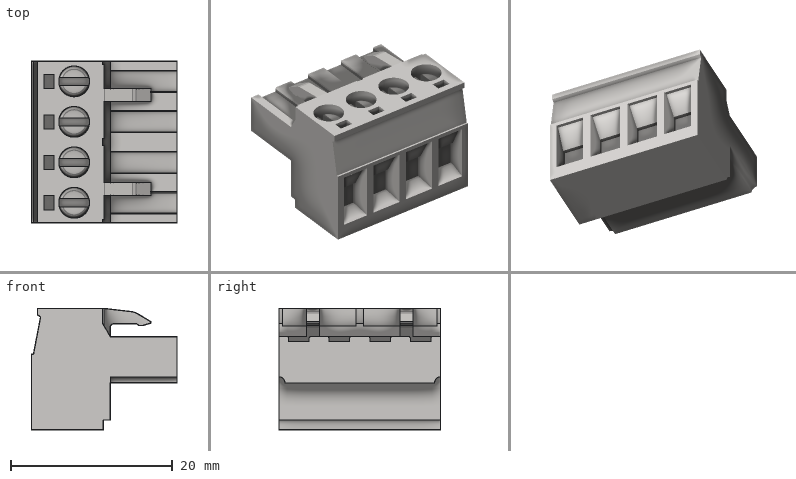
import cadquery as cq
import math


length = 18.0
width = 20.0
height = 15.0
half_width = width / 2
terminal_count = 4
pitch = width / terminal_count
terminal_places = [(i - (terminal_count - 1) / 2) * pitch for i in range(terminal_count)]

body_rear = 9.75
top_rear = 8.78
rear_slope_top = 13.15
foot_rear = 8.88
foot_height = 1.2
lip_front = 0.72
lip_bottom = 14.2
panel_top_x = 1.12
panel_top = 13.95
panel_bottom_x = 0.25
panel_bottom = 9.35

plug_bottom = 5.8
plug_top = 11.5
cove_radius = 1.5 / 2
channel_depth = 0.6
channel_floor = plug_top - channel_depth
centre_rib_half = 1.25
side_rib_inner = 3.8
side_rib_outer = 6.28
edge_rib_inner = 8.78
edge_chamfer_height = 0.15
outer_edge_chamfer = 0.15
edge_chamfer = 0.08

pad_thickness = 0.18
pad_inner = 0.45
pad_outer = 9.55
pad_bottom = 12.8

latch_place = 5.8
latch_width = 1.6
latch_root_x = 8.78
latch_underside = 13.08
latch_root_fillet = 0.4

screw_x = 5.28
screw_diameter = 3.8
head_flat_diameter = 3.0
head_depth = 1.25
slot_width = 1.0
slot_depth = 1.0

test_front = 1.58
test_rear = 2.75
test_width = 1.75
test_depth = 3.0

entry_bottom = 1.85
entry_top = 8.82
entry_half_width = 2.0
entry_limit = 9.1
roof_slope_start = 0.42
throat_start = 1.7
throat_end = 2.2
throat_bottom = 2.75
throat_top = 5.95
throat_half_width = 1.45


def box(x_range, y_range, z_range):
    """Box from its limits along each axis."""
    sizes = [high - low for low, high in (x_range, y_range, z_range)]
    corner = (x_range[0], y_range[0], z_range[0])
    return cq.Workplane("XY").box(*sizes, centered=False).translate(corner)


def extrude_along_y(points, y_centre, y_width):
    """Closed XZ outline extruded along Y, centred on y_centre."""
    plane = cq.Workplane("XZ", origin=(0, y_centre, 0))
    return plane.polyline(points).close().extrude(y_width / 2, both=True)


def make_body():
    outline = [
        (0, 0),
        (foot_rear, 0),
        (foot_rear, foot_height),
        (body_rear, foot_height),
        (body_rear, plug_top),
        (top_rear, rear_slope_top),
        (top_rear, height),
        (lip_front, height),
        (lip_front, lip_bottom),
        (panel_top_x, panel_top),
        (panel_bottom_x, panel_bottom),
        (0, panel_bottom),
    ]
    return extrude_along_y(outline, 0, width)


def make_plug():
    """Plug bar with coved lower edges and channels between its top ribs."""
    cove_top = plug_bottom + cove_radius
    cove_inner = half_width - cove_radius
    cove_reach = cove_radius * math.sqrt(0.5)
    cove_middle = half_width - cove_reach
    cove_middle_z = plug_bottom + cove_reach

    shoulder = plug_top - edge_chamfer_height
    half_top = [
        (centre_rib_half - edge_chamfer, plug_top),
        (centre_rib_half, shoulder),
        (centre_rib_half, channel_floor),
        (side_rib_inner, channel_floor),
        (side_rib_inner, shoulder),
        (side_rib_inner + edge_chamfer, plug_top),
        (side_rib_outer - outer_edge_chamfer, plug_top),
        (side_rib_outer, shoulder),
        (side_rib_outer, channel_floor),
        (edge_rib_inner, channel_floor),
        (edge_rib_inner, shoulder),
        (edge_rib_inner + edge_chamfer, plug_top),
        (half_width, plug_top),
    ]
    mirrored_top = [(-y, z) for y, z in half_top]

    outline = (
        cq.Workplane("YZ", origin=(top_rear, 0, 0))
        .moveTo(-cove_inner, plug_bottom)
        .lineTo(cove_inner, plug_bottom)
        .threePointArc((cove_middle, cove_middle_z), (half_width, cove_top))
        .lineTo(half_width, plug_top)
    )
    for y, z in list(reversed(half_top))[1:] + mirrored_top:
        outline = outline.lineTo(y, z)
    outline = (
        outline.lineTo(-half_width, cove_top)
        .threePointArc((-cove_middle, cove_middle_z), (-cove_inner, plug_bottom))
        .close()
    )
    return outline.extrude(length - top_rear)


def make_rear_pad(side):
    """Thin raised pad on one half of the upper rear face."""
    y_range = sorted((side * pad_inner, side * pad_outer))
    return box((top_rear, top_rear + pad_thickness), y_range, (pad_bottom, height))


def make_latch(side):
    """Hooked latch arm reaching out over the plug."""
    fillet_end_x = body_rear + latch_root_fillet
    fillet_end_z = latch_underside - latch_root_fillet
    bulge = latch_root_fillet * (1 - math.sqrt(0.5))
    plane = cq.Workplane("XZ", origin=(0, side * latch_place, 0))
    return (
        plane.moveTo(latch_root_x, height)
        .lineTo(9.02, height)
        .lineTo(12.5, 14.6)
        .lineTo(12.92, 14.45)
        .lineTo(14.75, 13.38)
        .lineTo(14.75, 13.18)
        .lineTo(13.8, 12.88)
        .lineTo(13.3, 12.88)
        .lineTo(13.0, latch_underside)
        .lineTo(fillet_end_x, latch_underside)
        .threePointArc((body_rear + bulge, latch_underside - bulge), (body_rear, fillet_end_z))
        .lineTo(body_rear, channel_floor)
        .lineTo(latch_root_x, channel_floor)
        .close()
        .extrude(latch_width / 2, both=True)
    )


def screw_cut(y):
    """Screw hole ending on a rounded, slotted screw head."""
    radius = screw_diameter / 2
    flat_radius = head_flat_diameter / 2
    rounding = radius - flat_radius
    head_top = height - head_depth
    rounding_reach = rounding * math.sqrt(0.5)
    rounding_middle = (flat_radius + rounding_reach, head_top - rounding + rounding_reach)
    hole = (
        cq.Workplane("XZ")
        .moveTo(0, height)
        .lineTo(radius, height)
        .lineTo(radius, head_top - rounding)
        .threePointArc(rounding_middle, (flat_radius, head_top))
        .lineTo(0, head_top)
        .close()
        .revolve(360, (0, 0, 0), (0, 1, 0))
    )
    slot_floor = head_top - slot_depth
    slot = box((-radius, radius), (-slot_width / 2, slot_width / 2), (slot_floor, height))
    shaft = cq.Workplane("XY", origin=(0, 0, slot_floor)).circle(radius).extrude(height - slot_floor)
    return hole.union(slot.intersect(shaft)).translate((screw_x, y, 0))


def test_opening_cut(y):
    y_range = (y - test_width / 2, y + test_width / 2)
    return box((test_front, test_rear), y_range, (height - test_depth, height))


def wire_entry_cut(y):
    """Funnel that narrows from the front face into a short square throat."""
    side_outline = [
        (0, entry_bottom),
        (throat_start, throat_bottom),
        (throat_end, throat_bottom),
        (throat_end, throat_top),
        (throat_start, throat_top),
        (roof_slope_start, entry_top),
        (0, entry_top),
    ]
    low = max(y - entry_half_width, -entry_limit)
    high = min(y + entry_half_width, entry_limit)
    plan_outline = [
        (0, low),
        (throat_start, y - throat_half_width),
        (throat_end, y - throat_half_width),
        (throat_end, y + throat_half_width),
        (throat_start, y + throat_half_width),
        (0, high),
    ]
    side_shape = extrude_along_y(side_outline, y, pitch)
    plan_shape = cq.Workplane("XY").polyline(plan_outline).close().extrude(height)
    return side_shape.intersect(plan_shape)


result = make_body().union(make_plug())
for side in (-1, 1):
    result = result.union(make_rear_pad(side)).union(make_latch(side))
for place in terminal_places:
    result = result.cut(screw_cut(place))
    result = result.cut(test_opening_cut(place))
    result = result.cut(wire_entry_cut(place))